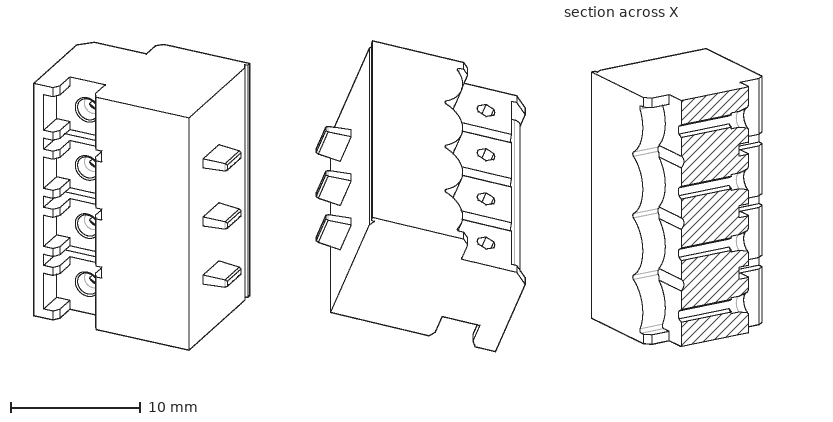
import cadquery as cq
import math

height = 20.0
body_length = 13.35
body_depth = 10.5
pole_pitch = 5.0
pole_count = 4
end_wall = 0.78
overcut = 0.2

pole_heights = [(i - (pole_count - 1) / 2) * pole_pitch for i in range(pole_count)]
divider_heights = [(i - (pole_count - 2) / 2) * pole_pitch for i in range(pole_count - 1)]
inner_half_height = height / 2 - end_wall

step_x = 5.5
step_y = 8.45
step_chamfer = 0.48
front_chamfer = 1.02

channel_left = 2.0
channel_right = 5.05
channel_floor = 2.25
mouth_chamfer_x = 0.35
mouth_chamfer_y = 0.52

groove_top = 10.18
groove_root_y = 10.12
groove_bottom = 9.68
groove_depth = 0.25

lip_thickness = 0.85
pocket_height = 2.68
slot_height = 0.95
slot_end = 5.82
slot_floor = 3.12

recess_floor_x = 1.45
recess_round = 0.6
recess_y = 6.65
notch_radius = 0.58
notch_depth = 0.25

scallop_radius = 2.7
scallop_front_x = 6.05
scallop_fillet = 0.2

hole_x = 3.5
hole_diameter = 1.4
mouth_diameter = 2.08
mouth_inner_diameter = 1.78
mouth_depth = 0.1
taper_depth = 0.8
guide_depth = 1.6
opening_half_height = 0.68
opening_slope = math.radians(30)

pin_length = 2.0
pin_tip_length = 0.18
pin_y = 3.8
pin_root = (2.75, 0.78)
pin_shoulder = (2.45, 0.65)
pin_tip = (2.38, 0.45)


def box(x_min, x_max, y_min, y_max, z_middle, z_size):
    return cq.Workplane("XY").box(
        x_max - x_min, y_max - y_min, z_size, centered=False
    ).translate((x_min, y_min, z_middle - z_size / 2))


def body():
    outline = [
        (0, 0),
        (channel_left - mouth_chamfer_x, 0),
        (channel_left, mouth_chamfer_y),
        (channel_left, channel_floor),
        (channel_right, channel_floor),
        (channel_right, mouth_chamfer_y),
        (channel_right + mouth_chamfer_x, 0),
        (body_length, 0),
        (body_length, groove_bottom),
        (body_length - groove_depth, groove_root_y),
        (body_length, groove_top),
        (body_length, body_depth),
        (step_x + step_chamfer, body_depth),
        (step_x, body_depth - step_chamfer),
        (step_x, step_y),
        (front_chamfer, step_y),
        (0, step_y - front_chamfer),
    ]
    return cq.Workplane("XY").polyline(outline).close().extrude(height / 2, both=True)


def channel_openings():
    """Pockets behind the lip, and slots across the channel between the poles."""
    cuts = cq.Workplane("XY")
    for z in pole_heights:
        outermost = abs(z) == max(pole_heights)
        near = abs(z) - pocket_height / 2
        far = inner_half_height if outermost else abs(z) + pocket_height / 2
        middle = math.copysign((near + far) / 2, z)
        cuts = cuts.union(box(lip_thickness, channel_left, -overcut, channel_floor, middle, far - near))
    for z in divider_heights:
        cuts = cuts.union(box(lip_thickness, slot_end, -overcut, slot_floor, z, slot_height))
    return cuts


def recess():
    """Recess over the -X face, with a rounded edge."""
    round_start = recess_y - recess_round
    half_root = math.sqrt(0.5) * recess_round
    return (
        cq.Workplane("XY")
        .moveTo(0, round_start)
        .threePointArc((recess_round - half_root, round_start + half_root), (recess_round, recess_y))
        .lineTo(recess_floor_x, recess_y)
        .lineTo(recess_floor_x, step_y + overcut)
        .lineTo(-overcut, step_y + overcut)
        .lineTo(-overcut, round_start)
        .close()
        .extrude(inner_half_height, both=True)
    )


def space_before_scallops():
    """Space along Y in front of the scallops, rounded where they meet and at its ends."""
    columns = (
        cq.Workplane("XZ", origin=(0, channel_floor, 0))
        .pushPoints([(scallop_front_x + scallop_radius, z) for z in pole_heights])
        .circle(scallop_radius)
        .extrude(-body_depth)
    )
    space = box(
        0, scallop_front_x + scallop_radius,
        channel_floor, body_depth + overcut, 0, 2 * inner_half_height,
    ).cut(columns)
    corners = space.edges("|Y").filter(lambda edge: edge.Center().x > scallop_front_x)
    return corners.fillet(scallop_fillet)


def scalloped_step():
    """Scallops above the step, and round notches sunk into the step between the poles."""
    space = space_before_scallops()
    above_step = box(0, body_length, step_y, body_depth + overcut, 0, height)
    notches = (
        cq.Workplane("YZ")
        .pushPoints([(step_y - notch_depth + notch_radius, z) for z in divider_heights])
        .circle(notch_radius)
        .extrude(body_length)
    )
    return space.intersect(above_step.union(notches))


def pole_hole():
    """Tapered hole along Y, centred on Z = 0, that narrows to a pointed opening."""
    mouth_end = channel_floor + mouth_depth
    taper_end = mouth_end + taper_depth
    hole_radius = hole_diameter / 2
    guide = (
        cq.Workplane("XY")
        .moveTo(0, channel_floor)
        .lineTo(mouth_diameter / 2, channel_floor)
        .lineTo(mouth_inner_diameter / 2, mouth_end)
        .lineTo(hole_radius, taper_end)
        .lineTo(hole_radius, channel_floor + guide_depth)
        .lineTo(0, channel_floor + guide_depth)
        .close()
        .revolve(360, (0, 0, 0), (0, 1, 0))
    )
    opening_half_width = opening_half_height / math.tan(opening_slope)
    passage = cq.Workplane("XZ", origin=(0, channel_floor, 0)).circle(hole_radius).extrude(-body_depth)
    diamond = (
        cq.Workplane("XZ", origin=(0, channel_floor, 0))
        .polyline([
            (0, opening_half_height),
            (opening_half_width, 0),
            (0, -opening_half_height),
            (-opening_half_width, 0),
        ])
        .close()
        .extrude(-body_depth)
    )
    return guide.union(passage.intersect(diamond))


def pin():
    """Pin centred on Z = 0, tapered along X and bevelled at its tip."""
    shank = (
        cq.Workplane("YZ", origin=(body_length, pin_y, 0))
        .rect(*pin_root)
        .workplane(offset=pin_length - pin_tip_length)
        .rect(*pin_shoulder)
        .loft(ruled=True)
    )
    tip = (
        cq.Workplane("YZ", origin=(body_length + pin_length - pin_tip_length, pin_y, 0))
        .rect(*pin_shoulder)
        .workplane(offset=pin_tip_length)
        .rect(*pin_tip)
        .loft(ruled=True)
    )
    return shank.union(tip)


result = body().cut(channel_openings()).cut(recess()).cut(scalloped_step())
for z in pole_heights:
    result = result.cut(pole_hole().translate((hole_x, 0, z)))
for z in divider_heights:
    result = result.union(pin().translate((0, 0, z)))